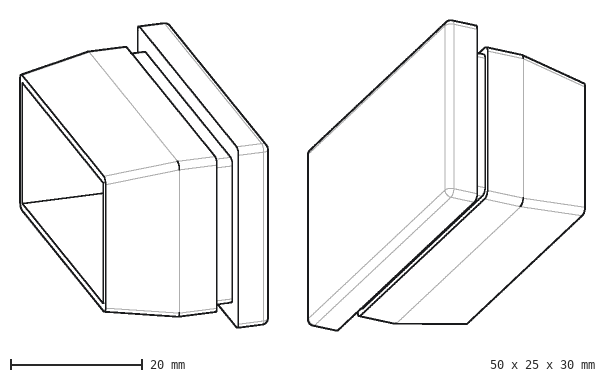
import cadquery as cq

flange_width = 50.0
flange_height = 30.0
flange_thickness = 5.0
flange_radius = 1.0

total_depth = 25.0
groove_length = 2.75
collar_length = 6.0
taper_length = total_depth - flange_thickness - groove_length - collar_length
collar_width = 45.75
collar_height = 25.75
groove_inset = 0.85
mouth_inset = 1.65
corner_radius = 1.0

cavity_width = 40.0
cavity_height = 20.0
floor_thickness = 5.0

mouth_y = -total_depth / 2
collar_y = mouth_y + taper_length
groove_y = collar_y + collar_length
flange_y = groove_y + groove_length


def block(width, height, start_y, length):
    """Box centred on the Y axis, extending from start_y towards +Y."""
    return cq.Workplane("XY").box(width, length, height).translate((0, start_y + length / 2, 0))


def rounded_block(width, height, start_y, length):
    return block(width, height, start_y, length).edges("|Y").fillet(corner_radius)


def tapered_nose():
    """Loft from the narrow mouth to the full collar section, with rounded long edges."""
    nose = (
        cq.Workplane("XZ", origin=(0, mouth_y, 0))
        .rect(collar_width - 2 * mouth_inset, collar_height - 2 * mouth_inset)
        .workplane(offset=-taper_length)
        .rect(collar_width, collar_height)
        .loft(ruled=True)
    )
    return nose.edges("not(#Y)").fillet(corner_radius)


def flange():
    """Plate with rounded corners and a rounded outer face."""
    plate = block(flange_width, flange_height, flange_y, flange_thickness)
    return plate.edges("|Y or >Y").fillet(flange_radius)


collar = rounded_block(collar_width, collar_height, collar_y, collar_length)
groove_core = rounded_block(
    collar_width - 2 * groove_inset, collar_height - 2 * groove_inset, groove_y, groove_length
)
cavity = block(cavity_width, cavity_height, mouth_y, total_depth - floor_thickness)

result = flange().union(groove_core).union(collar).union(tapered_nose()).cut(cavity)